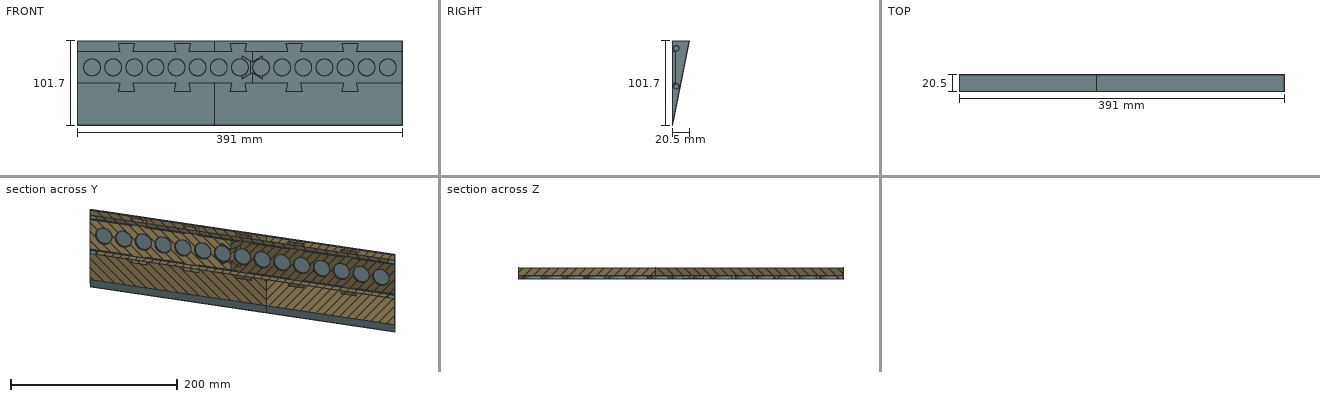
import cadquery as cq

LENGTH = 391.0
DEPTH = 20.5
HEIGHT = 101.7
LEFT_END = -LENGTH / 2
RIGHT_END = LENGTH / 2
FRONT = -DEPTH / 2
TOP = HEIGHT / 2
WEDGE_JOINT_X = -30.5

PLATE_BOTTOM = 0.0
PLATE_HEIGHT = 38.0
PLATE_TOP = PLATE_BOTTOM + PLATE_HEIGHT
PLATE_MIDDLE = (PLATE_BOTTOM + PLATE_TOP) / 2
PLATE_THICKNESS = 4.0
PLATE_JOINT_X = 15.0

TONGUE_LENGTH = 2.5
TONGUE_HEIGHT = 13.0

TAB_COUNT = 5
TAB_PITCH = 67.3
TAB_ROW_MIDDLE_X = -2.0
TAB_ROOT_WIDTH = 15.5
TAB_TIP_WIDTH = 19.5
TAB_REACH = 9.8

KEY_LENGTH = 24.5
KEY_END_HEIGHT = 27.5
KEY_WAIST_HEIGHT = TONGUE_HEIGHT
KEY_SKIN = 0.6

POCKET_COUNT = 15
POCKET_PITCH = 25.5
POCKET_RADIUS = 10.0
POCKET_SKIN = 0.2

ROD_RADIUS = 3.32
ROD_AXIS_Y = FRONT + 4.5
ROD_AXIS_OFFSET = 4.0
ROD_AXIS_HEIGHTS = (PLATE_TOP + ROD_AXIS_OFFSET, PLATE_BOTTOM - ROD_AXIS_OFFSET)
ROD_INSET = 8.0


def row_positions(count, pitch, middle):
    """Evenly spaced X positions centred on middle."""
    return [middle + (i - (count - 1) / 2) * pitch for i in range(count)]


def plate_prism(points, skin=0):
    """Outline in X and Z, extruded from behind a front skin to the back of the plates."""
    plane = cq.Workplane("XZ", origin=(0, FRONT + skin, 0))
    return plane.polyline(points).close().extrude(skin - PLATE_THICKNESS)


def front_box(x_start, x_end, z_bottom, z_top):
    """Rectangular slab of plate thickness behind the front face."""
    corners = [(x_start, z_bottom), (x_end, z_bottom), (x_end, z_top), (x_start, z_top)]
    return plate_prism(corners)


def rod_shape(x_start, x_end, z):
    """Cylinder along X on a rod axis."""
    plane = cq.Workplane("YZ", origin=(x_start, ROD_AXIS_Y, z))
    return plane.circle(ROD_RADIUS).extrude(x_end - x_start)


def tab(x, edge_z, direction):
    """Dovetail tab that grows from a plate edge, up (+1) or down (-1)."""
    tip_z = edge_z + direction * TAB_REACH
    points = [
        (x - TAB_ROOT_WIDTH / 2, edge_z),
        (x + TAB_ROOT_WIDTH / 2, edge_z),
        (x + TAB_TIP_WIDTH / 2, tip_z),
        (x - TAB_TIP_WIDTH / 2, tip_z),
    ]
    return plate_prism(points)


def plate_outline(x_start, x_end):
    """Plate between two X positions with its tabs, without pockets."""
    plate = front_box(x_start, x_end, PLATE_BOTTOM, PLATE_TOP)
    for x in row_positions(TAB_COUNT, TAB_PITCH, TAB_ROW_MIDDLE_X):
        if x_start < x < x_end:
            plate = plate.union(tab(x, PLATE_TOP, 1))
            plate = plate.union(tab(x, PLATE_BOTTOM, -1))
    return plate


def tongue():
    """Tongue that reaches from the plate joint into the left plate."""
    return front_box(
        PLATE_JOINT_X - TONGUE_LENGTH,
        PLATE_JOINT_X,
        PLATE_MIDDLE - TONGUE_HEIGHT / 2,
        PLATE_MIDDLE + TONGUE_HEIGHT / 2,
    )


def key_shape():
    """Bow-tie across the plate joint, before the round pockets are cut into it."""
    end = KEY_LENGTH / 2
    end_rise = KEY_END_HEIGHT / 2
    waist_rise = KEY_WAIST_HEIGHT / 2
    outline = [
        (-end, -end_rise),
        (0, -waist_rise),
        (end, -end_rise),
        (end, end_rise),
        (0, waist_rise),
        (-end, end_rise),
    ]
    points = [(PLATE_JOINT_X + x, PLATE_MIDDLE + z) for x, z in outline]
    return plate_prism(points, KEY_SKIN)


def cut_pockets(body):
    """Round pockets, open at the back of the plates."""
    centres = [(x, PLATE_MIDDLE) for x in row_positions(POCKET_COUNT, POCKET_PITCH, 0)]
    plane = cq.Workplane("XZ", origin=(0, FRONT + POCKET_SKIN, 0))
    pockets = plane.pushPoints(centres).circle(POCKET_RADIUS).extrude(POCKET_SKIN - PLATE_THICKNESS)
    return body.cut(pockets)


def cut_rod_holes(body):
    """Lengthwise holes for the rods."""
    for z in ROD_AXIS_HEIGHTS:
        body = body.cut(rod_shape(LEFT_END, RIGHT_END, z))
    return body


def left_plate():
    """Plate with a notch for the tongue of its neighbour."""
    plate = plate_outline(LEFT_END, PLATE_JOINT_X).cut(tongue()).cut(key_shape())
    return cut_rod_holes(cut_pockets(plate))


def right_plate():
    """Plate whose tongue enters the notch in its neighbour."""
    plate = plate_outline(PLATE_JOINT_X, RIGHT_END).union(tongue()).cut(key_shape())
    return cut_rod_holes(cut_pockets(plate))


def joint_key():
    """Key that fills the recess behind the plate joint, except for the round pockets."""
    return cut_pockets(key_shape())


def wedge(x_start, x_end):
    """Wedge with a recess for the plates and holes for the rods."""
    profile = [(FRONT, -TOP), (FRONT, TOP), (FRONT + DEPTH, TOP)]
    body = cq.Workplane("YZ", origin=(x_start, 0, 0)).polyline(profile).close().extrude(x_end - x_start)
    body = body.cut(plate_outline(LEFT_END, RIGHT_END))
    return cut_rod_holes(body)


def rod(z):
    """Rod that stops short of both end faces."""
    return rod_shape(LEFT_END + ROD_INSET, RIGHT_END - ROD_INSET, z)


left_wedge = wedge(LEFT_END, WEDGE_JOINT_X)
right_wedge = wedge(WEDGE_JOINT_X, RIGHT_END)
plates = [left_plate(), right_plate()]
rods = [rod(z) for z in ROD_AXIS_HEIGHTS]

bodies = [left_wedge, right_wedge, *plates, joint_key(), *rods]
result = cq.Compound.makeCompound([body.val() for body in bodies])